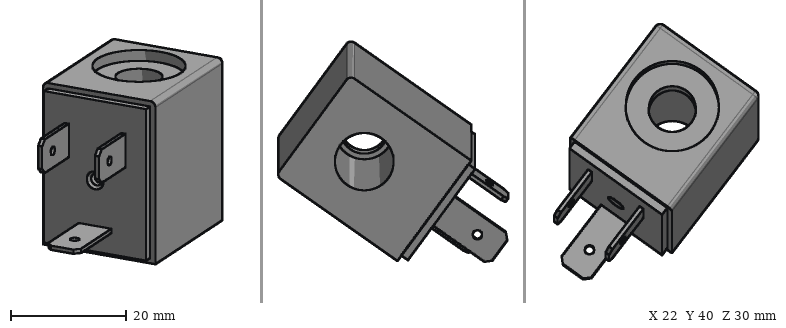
import cadquery as cq
import math

length = 40.0
width = 22.0
height = 30.0
back_y = length / 2
bottom_z = -height / 2
top_z = height / 2

block_depth = 26.0
block_front_y = back_y - block_depth
edge_radius = 1.0
pad_margin = 1.0
pad_thickness = 1.5
pad_front_y = block_front_y - pad_thickness

bore_y = back_y - width / 2
recess_diameter = 16.2
recess_depth = 2.0
neck_diameter = 8.2
neck_length = 3.0
lower_bore_diameter = 10.2

blade_thickness = 0.8
blade_chamfer = 1.0
side_blade_width = 6.2
side_blade_length = 10.0
side_blade_x = 5.55
side_blade_z = bottom_z + 20.7
side_hole_diameter = 1.5
side_hole_from_tip = 4.0
ground_blade_width = 6.4
ground_blade_length = pad_front_y + length / 2
ground_blade_z = bottom_z + 5.35
ground_hole_diameter = 1.6
ground_hole_from_tip = 4.8

screw_z = bottom_z + 14.15
screw_diameter = 2.15
countersink_diameter = 3.3
screw_depth = 8.0
drill_point_angle = 118.0


def make_block():
    """Block rounded along its upper side edges and around its back face, except at the base."""
    block = cq.Workplane("XY").box(width, block_depth, height)
    block = block.translate((0, back_y - block_depth / 2, 0))
    rounded = block.edges("(>Z and |Y) or (>Y and |Z) or (>Z and >Y)")
    return rounded.fillet(edge_radius)


def make_pad():
    pad = cq.Workplane("XY").box(width - 2 * pad_margin, pad_thickness, height - 2 * pad_margin)
    return pad.translate((0, block_front_y - pad_thickness / 2, 0))


def make_blade(blade_length, broad_width, hole_diameter, hole_from_tip):
    """Flat horizontal blade reaching from the pad toward -Y, centred on the Y axis."""
    blade = cq.Workplane("XY").box(broad_width, blade_length, blade_thickness)
    blade = blade.edges("<Y and |Z").chamfer(blade_chamfer)
    hole_y = -blade_length / 2 + hole_from_tip
    hole = cq.Workplane("XY", origin=(0, hole_y, -blade_thickness / 2)).circle(hole_diameter / 2)
    blade = blade.cut(hole.extrude(blade_thickness))
    return blade.translate((0, pad_front_y - blade_length / 2, 0))


def make_bore():
    def cylinder(diameter, z_low, z_high):
        disc = cq.Workplane("XY", origin=(0, bore_y, z_low)).circle(diameter / 2)
        return disc.extrude(z_high - z_low)

    neck_top_z = top_z - recess_depth
    neck_bottom_z = neck_top_z - neck_length
    recess = cylinder(recess_diameter, neck_top_z, top_z)
    neck = cylinder(neck_diameter, neck_bottom_z, neck_top_z)
    lower_bore = cylinder(lower_bore_diameter, bottom_z, neck_bottom_z)
    return recess.union(neck).union(lower_bore)


def make_screw_hole():
    """Revolved cutter; the 90 degree countersink is as deep as its radial step."""
    mouth_radius = countersink_diameter / 2
    radius = screw_diameter / 2
    step = mouth_radius - radius
    point_depth = radius / math.tan(math.radians(drill_point_angle / 2))
    profile = (
        cq.Workplane("XY", origin=(0, pad_front_y, screw_z))
        .moveTo(0, 0)
        .lineTo(mouth_radius, 0)
        .lineTo(radius, step)
        .lineTo(radius, screw_depth)
        .lineTo(0, screw_depth + point_depth)
        .close()
    )
    return profile.revolve(360, (0, 0, 0), (0, 1, 0))


result = make_block().union(make_pad())

side_blade = make_blade(side_blade_length, side_blade_width, side_hole_diameter, side_hole_from_tip)
upright_blade = side_blade.rotate((0, 0, 0), (0, 1, 0), 90)
for x in (-side_blade_x, side_blade_x):
    result = result.union(upright_blade.translate((x, 0, side_blade_z)))

ground_blade = make_blade(
    ground_blade_length, ground_blade_width, ground_hole_diameter, ground_hole_from_tip
)
result = result.union(ground_blade.translate((0, 0, ground_blade_z)))

result = result.cut(make_bore()).cut(make_screw_hole())